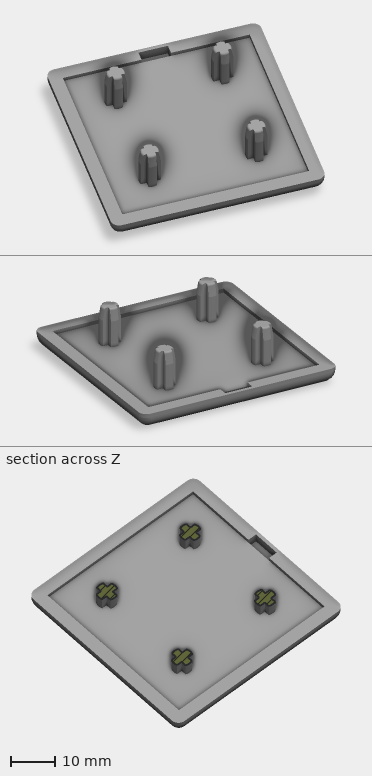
import cadquery as cq

plate_size = 50.8
plate_height = 4.0
corner_radius = 2.0
edge_radius = 3.0

wall = 3.175
recess_size = plate_size - 2 * wall
recess_depth = 1.0

notch_length = 7.0
notch_width = 2.3
notch_depth = 2.5

post_spacing = 25.4
post_diameter = 5.1
post_tip_diameter = 4.1
post_top = 12.5
arm_width = 2.0
taper_length = 3.0
tip_fillet = 0.5

half_plate = plate_size / 2
recess_floor = plate_height - recess_depth


def make_plate():
    """Square plate with rounded corners, then the whole lower edge rounded."""
    return (
        cq.Workplane("XY")
        .rect(plate_size, plate_size)
        .extrude(plate_height)
        .edges("|Z")
        .fillet(corner_radius)
        .faces("<Z")
        .edges()
        .fillet(edge_radius)
    )


def recess():
    return cq.Workplane("XY", origin=(0, 0, recess_floor)).rect(recess_size, recess_size).extrude(recess_depth)


def notch():
    return (
        cq.Workplane("XY", origin=(-half_plate + wall - notch_width / 2, 0, plate_height - notch_depth))
        .rect(notch_width, notch_length)
        .extrude(notch_depth)
    )


def post():
    """Cross-shaped post: a tapered round peg trimmed to four arms."""
    tip_radius = post_tip_diameter / 2
    peg = (
        cq.Workplane("XZ")
        .moveTo(0, recess_floor)
        .lineTo(post_diameter / 2, recess_floor)
        .lineTo(post_diameter / 2, post_top - taper_length)
        .lineTo(tip_radius, post_top)
        .lineTo(0, post_top)
        .close()
        .revolve(360, (0, 0), (0, 1))
        .faces(">Z")
        .edges()
        .fillet(tip_fillet)
    )
    base = cq.Workplane("XY", origin=(0, 0, recess_floor))
    arm_x = base.rect(post_diameter, arm_width).extrude(post_top - recess_floor)
    arm_y = base.rect(arm_width, post_diameter).extrude(post_top - recess_floor)
    return peg.intersect(arm_x.union(arm_y))


result = make_plate().cut(recess()).cut(notch())
for side_x in (-1, 1):
    for side_y in (-1, 1):
        result = result.union(post().translate((side_x * post_spacing / 2, side_y * post_spacing / 2, 0)))